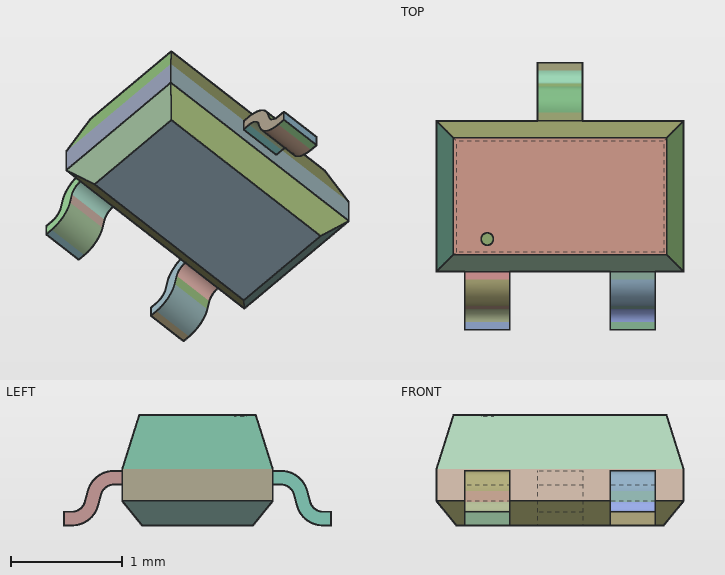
import cadquery as cq
import math

body_length = 2.21
body_width = 1.348
body_height = 0.99
band_bottom = 0.22
band_top = 0.505
top_inset = 0.153
bottom_inset = 0.18

lead_span = 2.39
lead_width = 0.406
lead_thickness = 0.125
lead_top = 0.49
lead_offset = 0.65
inner_radius = 0.12
outer_radius = inner_radius + lead_thickness
bend_angle = math.radians(75)
lead_reach = (lead_span - body_width) / 2

mark_diameter = 0.11
mark_depth = 0.012
mark_x = -lead_offset
mark_y = -0.382


def frustum(lower_z, lower_inset, upper_z, upper_inset):
    """Rectangular loft whose ends are inset from the full body outline."""
    return (
        cq.Workplane("XY", origin=(0, 0, lower_z))
        .rect(body_length - 2 * lower_inset, body_width - 2 * lower_inset)
        .workplane(offset=upper_z - lower_z)
        .rect(body_length - 2 * upper_inset, body_width - 2 * upper_inset)
        .loft(ruled=True, combine=True)
    )


def make_mark():
    """Round inlay flush with the top face."""
    return (
        cq.Workplane("XY", origin=(mark_x, mark_y, body_height - mark_depth))
        .circle(mark_diameter / 2)
        .extrude(mark_depth)
    )


def make_housing(mark):
    """Straight middle band between two tapered halves, recessed for the mark."""
    lower = frustum(0, bottom_inset, band_bottom, 0)
    band = frustum(band_bottom, 0, band_top, 0)
    upper = frustum(band_top, 0, body_height, top_inset)
    return lower.union(band).union(upper).cut(mark)


def arc_point(center, radius, angle):
    """Point on an arc, with the angle measured from straight up toward the lead tip."""
    return (center[0] + radius * math.sin(angle), center[1] + radius * math.cos(angle))


def make_lead(x, side):
    """S-bent strip leaving the long face on the given side (-1 or +1) of the housing."""
    bends_drop = (outer_radius + inner_radius) * (1 - math.cos(bend_angle))
    slope_drop = lead_top - lead_thickness - bends_drop
    slope_reach = slope_drop / math.tan(bend_angle)

    bends_reach = (outer_radius + inner_radius) * math.sin(bend_angle)
    flat_length = (lead_reach - bends_reach - slope_reach) / 2

    shoulder_center = (flat_length, lead_top - outer_radius)
    foot_center = (lead_reach - flat_length, lead_thickness + inner_radius)
    upper_edge = [
        (0, lead_top),
        (flat_length, lead_top),
        arc_point(shoulder_center, outer_radius, bend_angle / 2),
        arc_point(shoulder_center, outer_radius, bend_angle),
        arc_point(foot_center, -inner_radius, bend_angle),
        arc_point(foot_center, -inner_radius, bend_angle / 2),
        (foot_center[0], lead_thickness),
        (lead_reach, lead_thickness),
    ]
    lower_edge = [(lead_reach - reach, lead_top - z) for reach, z in upper_edge]

    profile = cq.Workplane("YZ", origin=(x, side * body_width / 2, 0)).moveTo(0, lead_top)
    for edge in (upper_edge, lower_edge):
        start, flat_end, mid_1, end_1, slope_end, mid_2, end_2, tip = [
            (side * reach, z) for reach, z in edge
        ]
        if edge is lower_edge:
            profile = profile.lineTo(*start)
        profile = (
            profile.lineTo(*flat_end)
            .threePointArc(mid_1, end_1)
            .lineTo(*slope_end)
            .threePointArc(mid_2, end_2)
            .lineTo(*tip)
        )
    return profile.close().extrude(lead_width / 2, both=True)


mark = make_mark()
housing = make_housing(mark)

lead_places = [(-lead_offset, -1), (lead_offset, -1), (0, 1)]
leads = [make_lead(x, side).val() for x, side in lead_places]

result = cq.Compound.makeCompound([housing.val(), mark.val(), *leads])